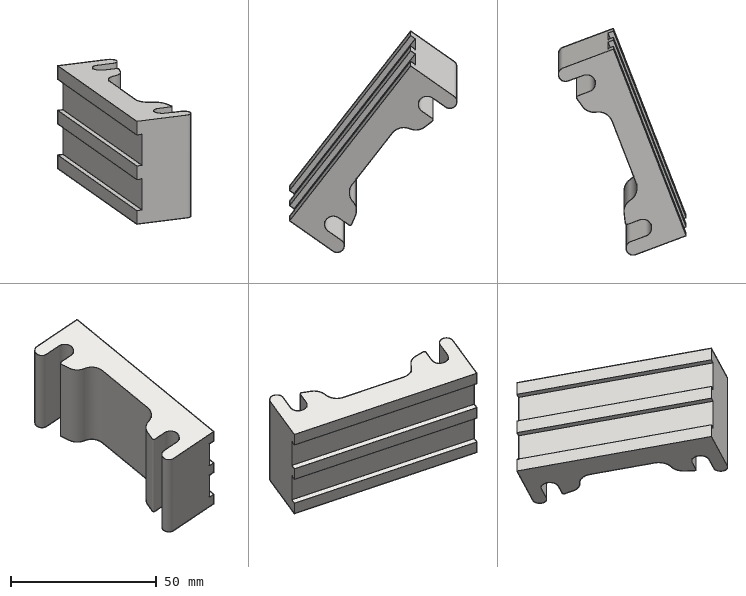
import cadquery as cq
import math

length = 70.0
depth = 21.0
height = 37.0

arm_width = 4.9
slot_width = 6.0
slot_bottom = 9.9
floor_level = 9.45
lug_height = 18.1
lug_slope = 14.0
flank_angle = 75.0
flank_foot = 19.6
lug_tip_radius = 0.6
lug_shoulder_radius = 5.0
floor_corner_radius = 5.0

groove_count = 2
land_width = 4.9
groove_depth = 1.95

half_length = length / 2
slot_radius = slot_width / 2
arm_radius = arm_width / 2
slot_center_x = half_length - arm_width - slot_radius
lug_outer_x = half_length - arm_width - slot_width
flank_foot_x = half_length - flank_foot

top_slope = math.tan(math.radians(lug_slope))
flank_slope = math.tan(math.radians(flank_angle))
shoulder_x = (
    lug_height - floor_level - top_slope * lug_outer_x + flank_slope * flank_foot_x
) / (flank_slope - top_slope)
shoulder_y = floor_level + flank_slope * (shoulder_x - flank_foot_x)


def round_corners(body, x, y, radius):
    """Round the upright edges at (x, y) and at its mirror image."""
    for side in (-1, 1):
        edge = body.edges(cq.selectors.NearestToPointSelector((side * x, y, height / 2)))
        body = edge.fillet(radius)
    return body


def make_body():
    """Extrude the stepped outline and round its lugs and inner corners."""
    half = (
        cq.Workplane("XY")
        .lineTo(half_length, 0)
        .lineTo(half_length, depth - arm_radius)
        .threePointArc(
            (half_length - arm_radius, depth),
            (half_length - arm_width, depth - arm_radius),
        )
        .lineTo(half_length - arm_width, slot_bottom + slot_radius)
        .threePointArc(
            (slot_center_x, slot_bottom),
            (lug_outer_x, slot_bottom + slot_radius),
        )
        .lineTo(lug_outer_x, lug_height)
        .lineTo(shoulder_x, shoulder_y)
        .lineTo(flank_foot_x, floor_level)
        .lineTo(0, floor_level)
        .close()
        .extrude(height)
    )
    body = half.union(half.mirror("YZ")).clean()
    body = round_corners(body, lug_outer_x, lug_height, lug_tip_radius)
    body = round_corners(body, shoulder_x, shoulder_y, lug_shoulder_radius)
    return round_corners(body, flank_foot_x, floor_level, floor_corner_radius)


def cut_grooves(body):
    """Cut the full-length grooves, leaving equal lands between and beside them."""
    groove_height = (height - (groove_count + 1) * land_width) / groove_count
    for index in range(groove_count):
        groove_bottom = land_width + index * (groove_height + land_width)
        groove = cq.Workplane("XY").box(
            length, groove_depth, groove_height, centered=(True, False, False)
        )
        body = body.cut(groove.translate((0, 0, groove_bottom)))
    return body


result = cut_grooves(make_body())